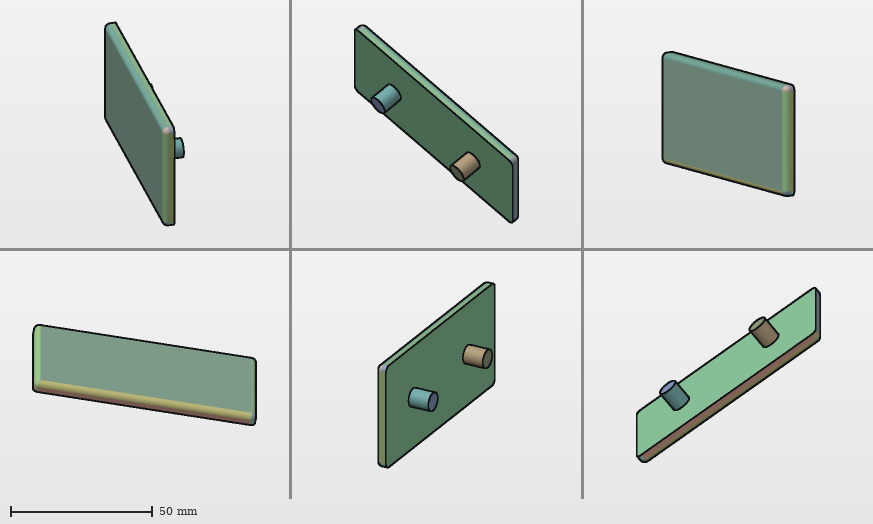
import cadquery as cq

plate_length = 80.0
plate_height = plate_length / 2
plate_thickness = 4.0
edge_radius = plate_thickness / 2

peg_diameter = 7.0
peg_length = 8.0
peg_spacing = plate_length / 2


def make_plate():
    """Flat plate with its corners and front rim rounded to one radius."""
    plate = cq.Workplane("XY").box(
        plate_length, plate_thickness, plate_height, centered=(True, True, True)
    ).translate((0, -plate_thickness / 2, 0))
    return plate.edges("|Y or <Y").fillet(edge_radius)


def make_peg(x):
    """Round peg pointing along +Y from the back of the plate."""
    axis_start = cq.Vector(x, 0, 0)
    peg = cq.Solid.makeCylinder(peg_diameter / 2, peg_length, axis_start, cq.Vector(0, 1, 0))
    return cq.Workplane(obj=peg)


result = make_plate()
for side in (-1, 1):
    result = result.union(make_peg(side * peg_spacing / 2))